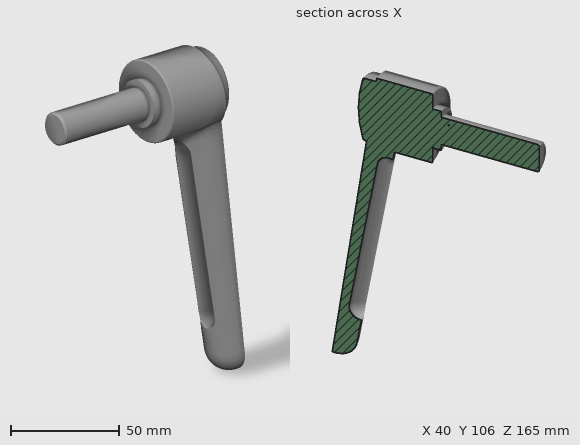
import cadquery as cq
import math

total_height = 165.0
total_depth = 106.0

hub_radius = 40.0 / 2
hub_edge_fillet = 0.8
collar_radius = 11.4
collar_length = 4.5
stud_radius = 16.0 / 2
stud_end = 54.5
stud_chamfer = 1.0

cap_radius = 18.0
cap_rim_y = 34.5
cap_shoulder = 1.5
cap_crown_y = 38.1
cap_crown_edge_radius = cap_radius - cap_shoulder
cap_crown_edge_y = cap_rim_y + cap_shoulder
cap_start_y = hub_radius

hub_top_back_y = 28.7
tip_y = total_depth - stud_end
tip_drop = total_height - hub_radius
back_slope = (tip_y - hub_top_back_y) / total_height
lever_angle = math.degrees(math.atan(back_slope))
back_y_at_axis = hub_top_back_y + back_slope * hub_radius

lever_root_radius = 15.0
lever_end_radius = 11.5
lever_length = (tip_drop - lever_end_radius) / math.cos(math.radians(lever_angle))

groove_radius = 5.8
groove_start = 28.5
groove_end = 115.7


def cylinder_y(radius, y_start, y_end):
    """Cylinder on the stud axis between two Y positions."""
    return cq.Workplane("XZ", origin=(0, y_end, 0)).circle(radius).extrude(y_end - y_start)


def tilt(shape):
    """Lean a shape from its local upright frame onto the sloping back plane."""
    return shape.rotate((0, 0, 0), (1, 0, 0), lever_angle).translate((0, back_y_at_axis, 0))


def front_half_space():
    """Block filling everything in front of the upright back plane."""
    size = 4 * total_height
    return cq.Workplane("XY").box(size, size, size).translate((0, -size / 2, 0))


def make_hub():
    hub = cylinder_y(hub_radius, 0, total_depth)
    hub = hub.faces("<Y").edges().fillet(hub_edge_fillet)
    return hub.intersect(tilt(front_half_space()))


def make_stud():
    collar = cylinder_y(collar_radius, -collar_length, hub_edge_fillet)
    stud = cylinder_y(stud_radius, -stud_end, hub_edge_fillet)
    stud = stud.faces("<Y").chamfer(stud_chamfer)
    return collar.union(stud)


def make_cap():
    crown_rise = cap_crown_y - cap_crown_edge_y
    dome_radius = (cap_crown_edge_radius**2 + crown_rise**2) / (2 * crown_rise)
    half_radius = cap_crown_edge_radius / 2
    dome_centre_y = cap_crown_y - dome_radius
    dome_mid_y = dome_centre_y + math.sqrt(dome_radius**2 - half_radius**2)
    corner_offset = cap_shoulder * math.sqrt(0.5)
    corner_mid = (cap_crown_edge_radius + corner_offset, cap_rim_y + corner_offset)
    return (
        cq.Workplane("XY")
        .moveTo(0, cap_start_y)
        .lineTo(cap_radius, cap_start_y)
        .lineTo(cap_radius, cap_rim_y)
        .threePointArc(corner_mid, (cap_crown_edge_radius, cap_crown_edge_y))
        .threePointArc((half_radius, dome_mid_y), (0, cap_crown_y))
        .close()
        .revolve(360, (0, 0, 0), (0, 1, 0))
    )


def make_groove_cutter():
    """Capsule whose axis follows the taper, sunk so the groove is one diameter wide."""
    taper = (lever_root_radius - lever_end_radius) / lever_length
    corner_offset = groove_radius * math.sqrt(0.5)

    def axis_point(distance):
        surface_radius = lever_root_radius - taper * distance
        return cq.Vector(0, -math.sqrt(surface_radius**2 - groove_radius**2), -distance)

    start = axis_point(groove_start)
    direction = axis_point(groove_end) - start
    length = direction.Length
    x_axis = cq.Vector(1, 0, 0)
    capsule_axis = cq.Plane(origin=start, xDir=x_axis, normal=x_axis.cross(direction))
    return (
        cq.Workplane(capsule_axis)
        .moveTo(0, length + groove_radius)
        .threePointArc((corner_offset, length + corner_offset), (groove_radius, length))
        .lineTo(groove_radius, 0)
        .threePointArc((corner_offset, -corner_offset), (0, -groove_radius))
        .close()
        .revolve(360, (0, 0, 0), (0, 1, 0))
    )


def make_lever():
    ball_offset = lever_end_radius * math.sqrt(0.5)
    lever = (
        cq.Workplane("XZ")
        .lineTo(lever_root_radius, 0)
        .lineTo(lever_end_radius, -lever_length)
        .threePointArc(
            (ball_offset, -lever_length - ball_offset),
            (0, -lever_length - lever_end_radius),
        )
        .close()
        .revolve(360, (0, 0, 0), (0, 1, 0))
    )
    lever = lever.intersect(front_half_space()).cut(make_groove_cutter())
    return tilt(lever)


result = make_hub().union(make_lever()).union(make_cap()).union(make_stud())